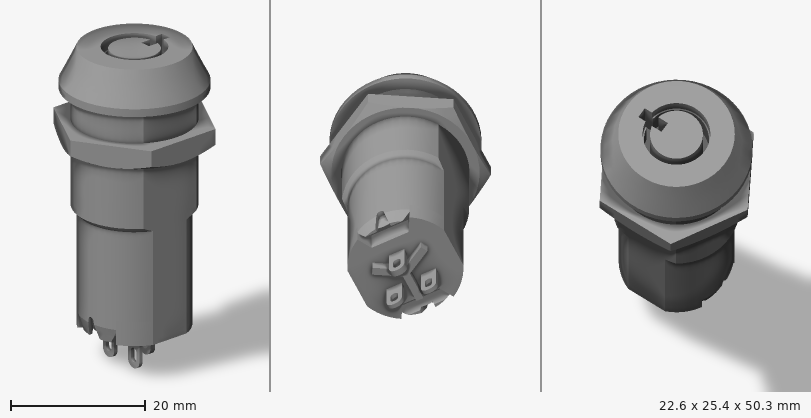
import cadquery as cq
import math

top_z = 50.3
head_edge_z = 45.0
head_bottom_z = 43.75
nut_top_z = 38.75
nut_height = 3.5
barrel_chamfer_z = 24.9
base_top_z = 9.45
tongue_taper_z = 8.0
base_bottom_z = 5.6
barrier_bottom_z = 3.95

head_diameter = 22.6
head_top_radius = 8.65
barrel_radius = 9.5
body_radius = 8.6
flat_width = 15.9
tongue_taper = 0.65
tongue_half_angle = 30.0
tongue_inner_y = 7.35
notch_top_z = 9.0
notch_depth = 0.8
notch_top_radius = 0.55
notch_bottom_half_width = 1.15

core_radius = 6.8
front_wall = 1.9
mouth_radius = 5.05
groove_radius = 4.85
pin_radius = 3.9
pin_setback = 0.25
groove_depth = 6.05
slot_depth = 6.55
slot_width = 1.7
slot_inner_y = 2.1
slot_outer_y = 6.25

nut_across_corners = 25.4
nut_chamfer_angle = 30.0
hexagon_half_angle = 30.0

pocket_inner_y = 5.3
barrier_width = 1.15
barrier_length = 4.95
barrier_arms = 3
terminal_width = 2.5
terminal_pitch = 2.8
eye_width = 1.2
eye_length = 2.3
eye_center_z = 2.1
front_terminal_y = -2.3
front_terminal_thickness = 0.65
rear_terminal_y = 2.5
rear_terminal_thickness = 0.95

head_radius = head_diameter / 2
core_top_z = top_z - front_wall
taper_bottom_radius = body_radius - tongue_taper
overshoot = 0.5


def cylinder(radius, lower_z, upper_z):
    """Upright cylinder on the Z axis."""
    return cq.Workplane("XY").workplane(offset=lower_z).circle(radius).extrude(upper_z - lower_z)


def box_between(x_size, y_min, y_max, z_min, z_max):
    """Box centred on X that spans the given Y and Z ranges."""
    return (
        cq.Workplane("XY")
        .box(x_size, y_max - y_min, z_max - z_min, centered=(True, False, False))
        .translate((0, y_min, z_min))
    )


def flatten_sides(solid):
    """Trim a round body to the two flats that face +X and -X."""
    reach = 2 * head_radius
    return solid.intersect(box_between(flat_width, -reach, reach, 0, top_z))


def sector_prism(inner_y):
    """Wedge about -Y with radial sides, from the plane y = -inner_y outward, over the base height."""
    spread = math.tan(math.radians(tongue_half_angle))
    outer_y = body_radius + overshoot
    corners = [
        (-inner_y * spread, -inner_y),
        (-outer_y * spread, -outer_y),
        (outer_y * spread, -outer_y),
        (inner_y * spread, -inner_y),
    ]
    return (
        cq.Workplane("XY")
        .workplane(offset=base_bottom_z)
        .polyline(corners)
        .close()
        .extrude(base_top_z - base_bottom_z)
    )


def tapered_post(inset):
    """Round tongue envelope, tapered below tongue_taper_z and shrunk radially by inset."""
    profile = [
        (0, base_bottom_z),
        (taper_bottom_radius - inset, base_bottom_z),
        (body_radius - inset, tongue_taper_z),
        (body_radius - inset, base_top_z),
        (0, base_top_z),
    ]
    return cq.Workplane("XZ").polyline(profile).close().revolve(360, (0, 0), (0, 1))


def notch_prism():
    """Round-topped notch outline that widens downward, extruded toward -Y."""
    arc_center_z = notch_top_z - notch_top_radius
    return (
        cq.Workplane("XZ")
        .moveTo(-notch_bottom_half_width, base_bottom_z)
        .lineTo(-notch_top_radius, arc_center_z)
        .threePointArc((0, notch_top_z), (notch_top_radius, arc_center_z))
        .lineTo(notch_bottom_half_width, base_bottom_z)
        .close()
        .extrude(body_radius + overshoot)
    )


def make_tongue():
    """Tapered retaining tongue on the -Y side, notched in the middle."""
    tongue = tapered_post(0).intersect(sector_prism(0))
    tongue = tongue.intersect(
        box_between(2 * body_radius, -body_radius, -tongue_inner_y, base_bottom_z, base_top_z)
    )
    return tongue.cut(notch_prism().cut(tapered_post(notch_depth)))


def make_key_slot():
    """Radial key slot through the front wall and down into the core."""
    return box_between(slot_width, slot_inner_y, slot_outer_y, top_z - slot_depth, top_z)


def make_housing():
    head = cylinder(head_radius, head_bottom_z, top_z)
    head = head.faces(">Z").chamfer(top_z - head_edge_z, head_radius - head_top_radius)
    barrel_step = barrel_radius - body_radius
    barrel = cylinder(barrel_radius, barrel_chamfer_z - barrel_step, head_bottom_z)
    barrel = barrel.faces("<Z").chamfer(barrel_step)
    shank = flatten_sides(barrel.union(cylinder(body_radius, base_top_z, barrel_chamfer_z)))
    housing = head.union(shank)

    tongue = make_tongue()
    housing = housing.union(tongue).union(tongue.mirror("XZ"))

    housing = housing.cut(cylinder(core_radius, base_top_z, core_top_z))
    housing = housing.cut(cylinder(mouth_radius, core_top_z, top_z))
    return housing.cut(make_key_slot())


def make_lock_core():
    """Core behind the front wall, with a ring groove for the key and a slotted centre pin."""
    core = cylinder(core_radius, base_top_z, core_top_z)
    core = core.cut(cylinder(groove_radius, top_z - groove_depth, core_top_z))
    pin = cylinder(pin_radius, top_z - groove_depth, top_z - pin_setback)
    return core.union(pin).cut(make_key_slot())


def make_nut():
    """Hexagon nut with corners on +Y and -Y, chamfered round its lower face."""
    corner_radius = nut_across_corners / 2
    chamfer_radius = corner_radius * math.cos(math.radians(hexagon_half_angle))
    nut_bottom_z = nut_top_z - nut_height
    chamfer_rise = (corner_radius - chamfer_radius) * math.tan(math.radians(nut_chamfer_angle))
    hexagon = (
        cq.Workplane("XY")
        .workplane(offset=nut_bottom_z)
        .polygon(6, nut_across_corners)
        .extrude(nut_height)
        .rotate((0, 0, 0), (0, 0, 1), hexagon_half_angle)
    )
    envelope = (
        cq.Workplane("XZ")
        .polyline([
            (0, nut_bottom_z),
            (chamfer_radius, nut_bottom_z),
            (corner_radius, nut_bottom_z + chamfer_rise),
            (corner_radius, nut_top_z),
            (0, nut_top_z),
        ])
        .close()
        .revolve(360, (0, 0), (0, 1))
    )
    return hexagon.intersect(envelope).cut(cylinder(barrel_radius, nut_bottom_z, nut_top_z))


def make_terminal(x, y, thickness):
    """Solder lug with a round tip and an oblong eye, reaching up to the base."""
    tip_radius = terminal_width / 2
    blade = (
        cq.Workplane("XZ")
        .moveTo(-tip_radius, base_bottom_z)
        .lineTo(-tip_radius, tip_radius)
        .threePointArc((0, 0), (tip_radius, tip_radius))
        .lineTo(tip_radius, base_bottom_z)
        .close()
        .extrude(thickness / 2, both=True)
    )
    eye = (
        cq.Workplane("XZ")
        .center(0, eye_center_z)
        .slot2D(eye_length, eye_width, 90)
        .extrude(thickness, both=True)
    )
    return blade.cut(eye).translate((x, y, 0))


def make_barrier():
    """Three-arm rib below the base that separates the solder lugs, with one arm along -Y."""
    arm = box_between(barrier_width, -barrier_length, 0, barrier_bottom_z, base_bottom_z)
    barrier = arm
    for step in range(1, barrier_arms):
        barrier = barrier.union(arm.rotate((0, 0, 0), (0, 0, 1), step * 360 / barrier_arms))
    return barrier


def make_switch_base():
    """Round base with pockets for the tongues, a three-arm barrier and the solder lugs."""
    base = flatten_sides(cylinder(body_radius, base_bottom_z, base_top_z))
    pocket = sector_prism(pocket_inner_y)
    base = base.cut(pocket).cut(pocket.mirror("XZ"))

    base = base.union(make_barrier())
    for x in (-terminal_pitch, terminal_pitch):
        base = base.union(make_terminal(x, front_terminal_y, front_terminal_thickness))
    return base.union(make_terminal(0, rear_terminal_y, rear_terminal_thickness))


housing = make_housing()
lock_core = make_lock_core()
nut = make_nut()
switch_base = make_switch_base()

result = cq.Compound.makeCompound([housing.val(), lock_core.val(), nut.val(), switch_base.val()])